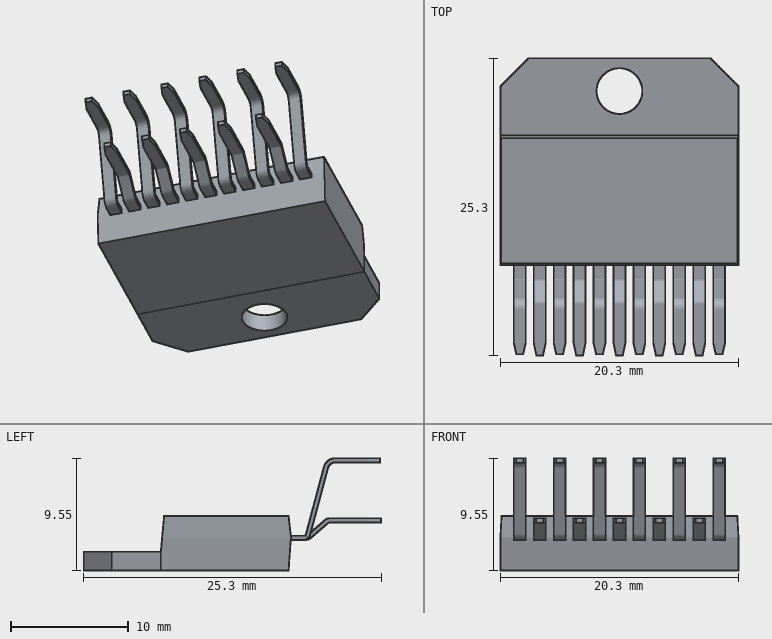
import cadquery as cq
import math

width = 20.25

tab_rear = 17.63
tab_thickness = 1.62
tab_chamfer = 2.4
hole_diameter = 3.87
hole_to_rear = 2.8

housing_height = 4.65
parting_height = 2.83
front_draft = 0.2
rear_base = 11.08
rear_top = 10.8
side_draft = 0.1

lead_count = 11
lead_pitch = 1.7
lead_width = 1.04
lead_thickness = 0.38
lead_height = 2.78
lead_overlap = 1.0
tip_width = 0.58
taper_start = -6.58

tall_tip = -7.55
tall_bend = -1.37
tall_angle = 75.0
tall_top = 9.55
tall_inside_radius = 0.03
tall_outside_radius = 0.7
tall_upper_radius = 0.63

short_tip = -7.66
short_bend = -1.42
short_angle = 41.0
short_top = 4.45
short_inside_radius = 0.5
short_outside_radius = 0.73
short_upper_radius = 0.15


def make_tab():
    """Flat plate with two chamfered corners and one through hole, butted against the housing."""
    length = tab_rear - rear_base
    return (
        cq.Workplane("XY")
        .center(0, rear_base + length / 2)
        .rect(width, length)
        .extrude(tab_thickness)
        .edges("|Z and >Y")
        .chamfer(tab_chamfer)
        .cut(
            cq.Workplane("XY")
            .center(0, tab_rear - hole_to_rear)
            .circle(hole_diameter / 2)
            .extrude(tab_thickness)
        )
    )


def make_housing_block():
    """Side outline extruded across the width, with the sides drafted above the parting line."""
    side_outline = [
        (front_draft, 0),
        (rear_base, 0),
        (rear_base, tab_thickness),
        (rear_top, housing_height),
        (front_draft, housing_height),
        (0, parting_height),
    ]
    half_base = width / 2
    half_top = half_base - side_draft
    front_outline = [
        (-half_base, 0),
        (half_base, 0),
        (half_base, parting_height),
        (half_top, housing_height),
        (-half_top, housing_height),
        (-half_base, parting_height),
    ]
    side_block = cq.Workplane("YZ").polyline(side_outline).close().extrude(half_base, both=True)
    front_block = cq.Workplane("XZ").polyline(front_outline).close().extrude(-tab_rear)
    return side_block.intersect(front_block)


def make_lead(x, tip, bend, angle, top, inside_radius, outside_radius, upper_radius):
    """Flat strip that leaves the housing, bends up by the angle and bends level again."""
    half = lead_thickness / 2
    slant = math.radians(angle)
    end_height = top - half
    upper_bend = bend - (end_height - lead_height) / math.tan(slant)

    shift = half * math.tan(slant / 2)
    top_lower_corner = (bend + shift, lead_height + half)
    top_upper_corner = (upper_bend + shift, end_height + half)
    bottom_upper_corner = (upper_bend - shift, end_height - half)
    bottom_lower_corner = (bend - shift, lead_height - half)
    strip = (
        cq.Workplane("YZ", origin=(x - lead_width / 2, 0, 0))
        .moveTo(lead_overlap, lead_height + half)
        .lineTo(*top_lower_corner)
        .lineTo(*top_upper_corner)
        .lineTo(tip, end_height + half)
        .lineTo(tip, end_height - half)
        .lineTo(*bottom_upper_corner)
        .lineTo(*bottom_lower_corner)
        .lineTo(lead_overlap, lead_height - half)
        .close()
        .extrude(lead_width)
    )
    corner_radii = [
        (top_lower_corner, inside_radius),
        (bottom_lower_corner, outside_radius),
        (top_upper_corner, upper_radius + lead_thickness),
        (bottom_upper_corner, upper_radius),
    ]
    for corner, radius in corner_radii:
        strip = strip.edges(cq.selectors.NearestToPointSelector((x, *corner))).fillet(radius)

    half_width = lead_width / 2
    half_tip = tip_width / 2
    plan = (
        cq.Workplane("XY")
        .polyline([
            (x - half_width, lead_overlap),
            (x - half_width, taper_start),
            (x - half_tip, tip),
            (x + half_tip, tip),
            (x + half_width, taper_start),
            (x + half_width, lead_overlap),
        ])
        .close()
        .extrude(tall_top)
    )
    return strip.intersect(plan)


def make_housing():
    """Housing block and its row of leads as one solid; tall and short leads alternate."""
    housing = make_housing_block()
    for index in range(lead_count):
        x = (index - (lead_count - 1) / 2) * lead_pitch
        if index % 2 == 0:
            lead = make_lead(
                x, tall_tip, tall_bend, tall_angle, tall_top,
                tall_inside_radius, tall_outside_radius, tall_upper_radius,
            )
        else:
            lead = make_lead(
                x, short_tip, short_bend, short_angle, short_top,
                short_inside_radius, short_outside_radius, short_upper_radius,
            )
        housing = housing.union(lead)
    return housing


tab = make_tab()
housing = make_housing()

result = cq.Compound.makeCompound([tab.val(), housing.val()])